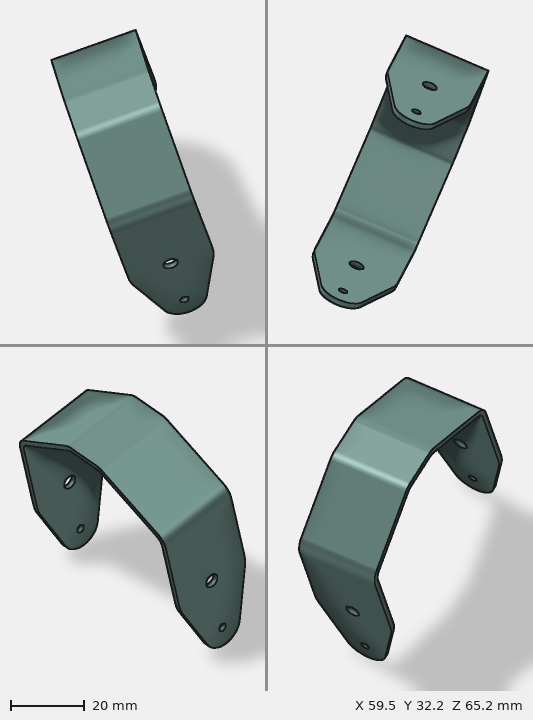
import cadquery as cq
import math

outer_width = 59.45
strip_width = 24.25
thickness = 1.6
crown_height = 57.6
crown_corner_x = 6.4
roof_slope = 30.0
bend_radius = 4.9
tilt = 12.1

tip_radius = 6.3
hole_spacing = 18.5
small_hole_diameter = 2.4
large_hole_diameter = 4.05

half_width = outer_width / 2
half_strip = strip_width / 2


def roof_prism(inset):
    """Solid under the strip's outer face, with its top and sides moved inward by inset."""
    slope = math.radians(roof_slope)
    side_x = half_width - inset
    top_z = crown_height - inset
    corner_x = crown_corner_x - inset * math.tan(slope / 2)
    shoulder_z = top_z - (side_x - corner_x) * math.tan(slope)
    return (
        cq.Workplane("XZ")
        .polyline([
            (-side_x, -tip_radius),
            (-side_x, shoulder_z),
            (-corner_x, top_z),
            (corner_x, top_z),
            (side_x, shoulder_z),
            (side_x, -tip_radius),
        ])
        .close()
        .extrude(half_strip, both=True)
        .edges("|Y and (not <Z)")
        .fillet(bend_radius - inset)
    )


def side_outline():
    """Side silhouette: round tip, tapered sides tangent to both arcs, straight strip."""
    taper = math.asin((half_strip - tip_radius) / hole_spacing)
    shoulder_y = half_strip * math.cos(taper)
    shoulder_z = hole_spacing - half_strip * math.sin(taper)
    tip_y = tip_radius * math.cos(taper)
    tip_z = -tip_radius * math.sin(taper)
    mid_y = half_strip * math.cos(taper / 2)
    mid_z = hole_spacing - half_strip * math.sin(taper / 2)
    return (
        cq.Workplane("YZ")
        .moveTo(-half_strip, crown_height)
        .lineTo(-half_strip, hole_spacing)
        .threePointArc((-mid_y, mid_z), (-shoulder_y, shoulder_z))
        .lineTo(-tip_y, tip_z)
        .threePointArc((0, -tip_radius), (tip_y, tip_z))
        .lineTo(shoulder_y, shoulder_z)
        .threePointArc((mid_y, mid_z), (half_strip, hole_spacing))
        .lineTo(half_strip, crown_height)
        .close()
        .extrude(half_width, both=True)
    )


def cross_hole(diameter, height):
    """Cutter along X that passes through both legs."""
    return cq.Workplane("YZ").center(0, height).circle(diameter / 2).extrude(half_width, both=True)


bent_strip = roof_prism(0).cut(roof_prism(thickness))
bracket = (
    bent_strip
    .intersect(side_outline())
    .cut(cross_hole(small_hole_diameter, 0))
    .cut(cross_hole(large_hole_diameter, hole_spacing))
)
result = bracket.rotate((0, 0, 0), (1, 0, 0), tilt)